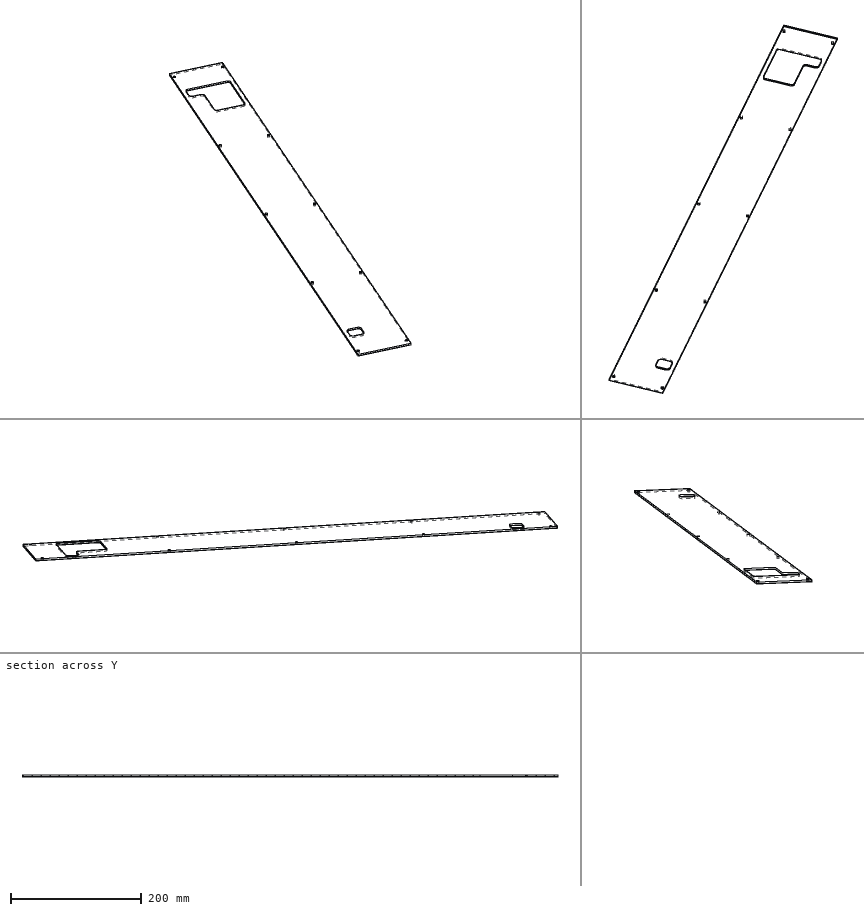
import cadquery as cq

length = 822.96
width = 87.0
thickness = 3.0

hole_diameter = 3.5
holes_per_row = 5
first_hole_end_distance = 11.0
last_hole_end_distance = 10.0
hole_edge_distance = 4.0

opening_margin = 7.0

cutout_end_distance = 50.0
block_length = 70.0
block_width = 50.0
leg_length = 20.5
leg_corner_radius = 5.0
block_corner_radius = 4.0

window_end_distance = 50.0
window_length = 20.0
window_corner_radius = 5.0

cutout_left = -length / 2 + cutout_end_distance
cutout_right = cutout_left + block_length
leg_right = cutout_left + leg_length
cutout_top = width / 2 - opening_margin
cutout_bottom = -width / 2 + opening_margin
step_y = cutout_top - block_width


def through_prism(profile):
    """Extrude a profile through the full plate thickness."""
    return profile.extrude(thickness / 2, both=True)


def mounting_holes():
    hole_pitch = (length - first_hole_end_distance - last_hole_end_distance) / (holes_per_row - 1)
    row_spacing = width - 2 * hole_edge_distance
    row_center_x = (first_hole_end_distance - last_hole_end_distance) / 2
    middle = cq.Workplane("XY").center(row_center_x, 0)
    grid = middle.rarray(hole_pitch, row_spacing, holes_per_row, 2)
    return through_prism(grid.circle(hole_diameter / 2))


def fillet_corners(body, corners, radius):
    """Round the vertical edges standing on the given (x, y) corners."""
    for x, y in corners:
        vertical_edge = cq.selectors.NearestToPointSelector((x, y, 0))
        body = body.edges("|Z").edges(vertical_edge).fillet(radius)
    return body


def l_shaped_cutout():
    block_corners = [
        (cutout_left, cutout_bottom),
        (cutout_left, cutout_top),
        (cutout_right, cutout_top),
        (cutout_right, step_y),
    ]
    leg_corners = [(leg_right, step_y), (leg_right, cutout_bottom)]
    outline = cq.Workplane("XY").polyline(block_corners + leg_corners).close()
    cutter = fillet_corners(through_prism(outline), block_corners, block_corner_radius)
    return fillet_corners(cutter, leg_corners, leg_corner_radius)


def rounded_window():
    window_width = step_y - cutout_bottom
    center_x = length / 2 - window_end_distance - window_length / 2
    center_y = (step_y + cutout_bottom) / 2
    outline = cq.Workplane("XY").center(center_x, center_y).rect(window_length, window_width)
    return through_prism(outline).edges("|Z").fillet(window_corner_radius)


plate = cq.Workplane("XY").box(length, width, thickness)
result = plate.cut(mounting_holes()).cut(l_shaped_cutout()).cut(rounded_window())